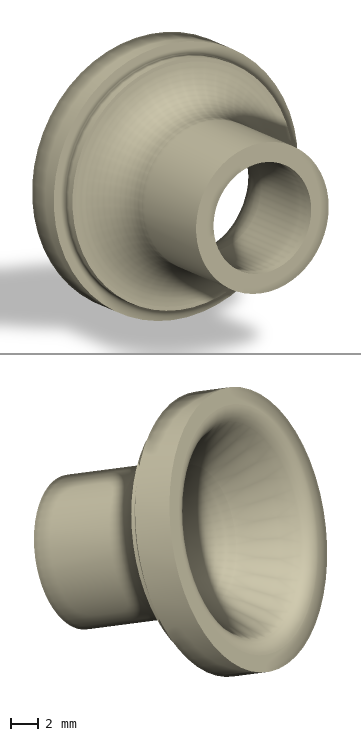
import cadquery as cq
import math

length = 15.0
flange_radius = 21 / 2
flange_width = 3.0
shoulder_radius = 19.0 / 2
shoulder_end = 4.0
corner_fillet = 0.1
tube_radius = 11.4 / 2
neck_fillet = 3.5

bore_radius = 8.4 / 2
lip_radius = 9.25
lip_rounding = 1.5
throat_rounding = 6.0
cone_slope = math.radians(55)

diagonal = math.sqrt(0.5)


def outer_body():
    neck_end = shoulder_end + neck_fillet
    neck_center_radius = tube_radius + neck_fillet
    corner_center_x = flange_width + corner_fillet
    corner_center_radius = shoulder_radius + corner_fillet
    corner_offset = corner_fillet * diagonal
    neck_offset = neck_fillet * diagonal
    return (
        cq.Workplane("XY")
        .lineTo(0, flange_radius)
        .lineTo(flange_width, flange_radius)
        .lineTo(flange_width, corner_center_radius)
        .threePointArc(
            (corner_center_x - corner_offset, corner_center_radius - corner_offset),
            (corner_center_x, shoulder_radius),
        )
        .lineTo(shoulder_end, shoulder_radius)
        .lineTo(shoulder_end, neck_center_radius)
        .threePointArc(
            (neck_end - neck_offset, neck_center_radius - neck_offset),
            (neck_end, tube_radius),
        )
        .lineTo(length, tube_radius)
        .lineTo(length, 0)
        .close()
        .revolve(360, (0, 0, 0), (1, 0, 0))
    )


def funnel_bore():
    def lip_point(angle):
        return (
            lip_rounding * (1 - math.cos(angle)),
            lip_radius - lip_rounding * math.sin(angle),
        )

    cone_start_x, cone_start_radius = lip_point(cone_slope)
    throat_center_radius = bore_radius + throat_rounding
    cone_end_radius = throat_center_radius - throat_rounding * math.sin(cone_slope)
    cone_end_x = cone_start_x + (cone_start_radius - cone_end_radius) * math.tan(cone_slope)
    throat_center_x = cone_end_x + throat_rounding * math.cos(cone_slope)

    def throat_point(angle):
        return (
            throat_center_x - throat_rounding * math.cos(angle),
            throat_center_radius - throat_rounding * math.sin(angle),
        )

    right_angle = math.pi / 2
    return (
        cq.Workplane("XY")
        .lineTo(*lip_point(0))
        .threePointArc(lip_point(cone_slope / 2), lip_point(cone_slope))
        .lineTo(*throat_point(cone_slope))
        .threePointArc(
            throat_point((cone_slope + right_angle) / 2),
            throat_point(right_angle),
        )
        .lineTo(length, bore_radius)
        .lineTo(length, 0)
        .close()
        .revolve(360, (0, 0, 0), (1, 0, 0))
    )


result = outer_body().cut(funnel_bore())